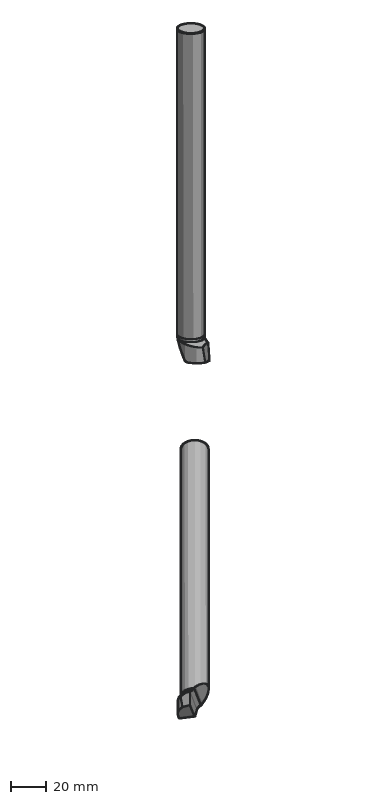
import cadquery as cq
import math

total_length = 201.2
shank_radius = 15.9 / 2
end_chamfer = 0.5
seam_height = 15.0

tip_reach = 10.97
head_reach = 11.0
head_depth = 9.15
head_radius = 9.5
head_center_x = head_reach - head_radius
head_center_y = head_radius - head_depth

shoulder_height = 13.3
shoulder_half_angle = 40.0
neck_bottom = 10.0

ramp_angle = 45.0
ramp_start = 13.58
ramp_blend_radius = 8.0

slant_angle = 26.0
slant_top_x = -7.6
corner_radius = 2.8
underside_rise = 2.5
underside_relief = 5.0
side_taper = 4.2
side_relief = 15.0

margin = 4.0


def slope(angle):
    return math.tan(math.radians(angle))


def make_ramp_cutter():
    """Space above the rake face and the blended ramp."""
    outer_y = shank_radius + margin
    ramp_end = ramp_start + outer_y / slope(90 - ramp_angle)
    cutter = (
        cq.Workplane("YZ")
        .polyline([(0, -margin), (0, ramp_start), (outer_y, ramp_end), (outer_y, -margin)])
        .close()
        .extrude(2 * tip_reach, both=True)
    )
    ramp_root = cq.NearestToPointSelector((0, 0, ramp_start))
    return cutter.edges("|X").edges(ramp_root).fillet(ramp_blend_radius)


def flank_section(y):
    """Outline of the head flanks in the XZ plane at the given Y."""
    slant = slope(slant_angle)
    rise = slope(underside_rise)
    taper = slope(side_taper)
    tip_x = tip_reach + y * slope(side_relief)
    tip_z = -y * slope(underside_relief)

    side_z = (tip_z + rise * (tip_reach - tip_x)) / (1 - rise * taper)
    side_x = tip_x - taper * side_z
    slant_foot_x = slant_top_x + slant * seam_height
    corner_z = (tip_z + rise * (tip_reach - slant_foot_x)) / (1 - rise * slant)
    corner_x = slant_foot_x - slant * corner_z
    top_x = tip_x - taper * seam_height
    points = [
        (slant_top_x, seam_height),
        (corner_x, corner_z),
        (side_x, side_z),
        (top_x, seam_height),
    ]
    return cq.Wire.makePolygon([cq.Vector(x, y, z) for x, z in points], close=True)


def make_flank_block():
    """Solid bounded by the slanted flank, underside and +X flank."""
    back = flank_section(shank_radius + margin)
    front = flank_section(-head_depth - margin)
    block = cq.Workplane(cq.Solid.makeLoft([back, front], True))
    corner_edge = block.faces("<X").edges("<Z")
    return corner_edge.fillet(corner_radius)


def make_shank():
    shank = (
        cq.Workplane("XY")
        .workplane(offset=seam_height)
        .circle(shank_radius)
        .extrude(total_length - seam_height)
        .faces(">Z")
        .chamfer(end_chamfer)
    )
    return shank.cut(make_ramp_cutter())


def make_cutting_head():
    body = (
        cq.Workplane("XY")
        .center(head_center_x, head_center_y)
        .circle(head_radius)
        .extrude(seam_height)
    )
    cone_slope = slope(shoulder_half_angle)
    cone_base_radius = shank_radius + shoulder_height * cone_slope
    cone = cq.Workplane(cq.Solid.makeCone(cone_base_radius, shank_radius, shoulder_height))
    neck = (
        cq.Workplane("XY")
        .workplane(offset=neck_bottom)
        .circle(shank_radius)
        .extrude(seam_height - neck_bottom)
    )
    envelope = body.intersect(cone).union(neck)
    return envelope.intersect(make_flank_block()).cut(make_ramp_cutter())


shank = make_shank()
cutting_head = make_cutting_head()

result = cq.Compound.makeCompound([shank.val(), cutting_head.val()])